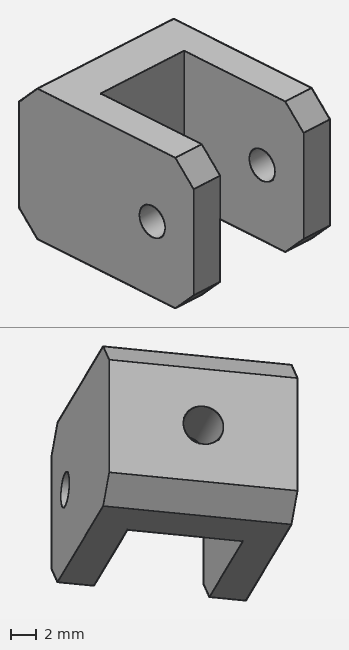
import cadquery as cq

length = 19.0
width = 15.0
height = 13.5

corner_chamfer = 2.0
web_thickness = 6.0
slot_width = 9.18

pin_hole_diameter = 2.8
pin_hole_to_tip = 4.5
web_hole_diameter = 3.2

body = cq.Workplane("XY").box(length, width, height).edges("|Y").chamfer(corner_chamfer)

slot_length = length - web_thickness
slot = cq.Workplane("XY").box(slot_length, slot_width, height).translate((web_thickness / 2, 0, 0))

pin_hole_x = length / 2 - pin_hole_to_tip
pin_hole = (
    cq.Workplane("XZ")
    .center(pin_hole_x, 0)
    .circle(pin_hole_diameter / 2)
    .extrude(width / 2, both=True)
)

web_hole = (
    cq.Workplane("YZ", origin=(-length / 2, 0, 0))
    .circle(web_hole_diameter / 2)
    .extrude(web_thickness)
)

result = body.cut(slot).cut(pin_hole).cut(web_hole)